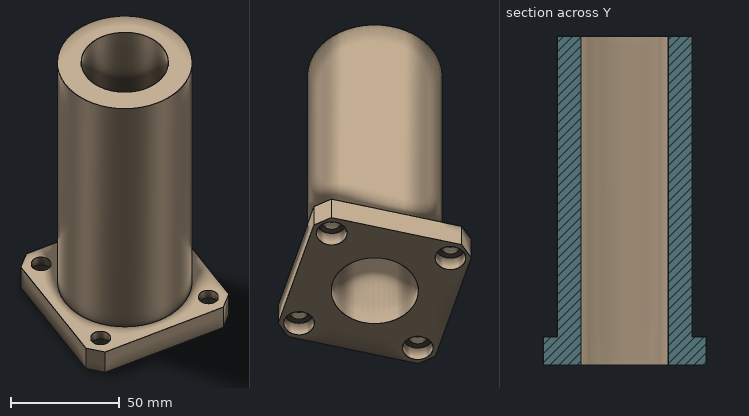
import cadquery as cq
import math

total_height = 151.0
flange_width = 75.0
flange_thickness = 13.0
corner_chamfer = 6.5
barrel_diameter = 62.0
bore_diameter = 40.0
bolt_circle_diameter = 80.0
bolt_hole_diameter = 9.0
counterbore_diameter = 14.0
counterbore_depth = 8.1

bolt_spacing = bolt_circle_diameter / math.sqrt(2)


def make_flange():
    """Square flange with its four upright corners chamfered."""
    return (
        cq.Workplane("XY")
        .rect(flange_width, flange_width)
        .extrude(flange_thickness)
        .edges("|Z")
        .chamfer(corner_chamfer)
    )


def make_barrel():
    """Cylindrical barrel standing on the base plane."""
    return cq.Workplane("XY").circle(barrel_diameter / 2).extrude(total_height)


def make_bore():
    """Straight bore through the full height."""
    return cq.Workplane("XY").circle(bore_diameter / 2).extrude(total_height)


def make_corner_cylinders(diameter, height):
    """Four cylinders rising from the base plane at the bolt positions."""
    return (
        cq.Workplane("XY")
        .rect(bolt_spacing, bolt_spacing, forConstruction=True)
        .vertices()
        .circle(diameter / 2)
        .extrude(height)
    )


def make_bolt_holes():
    """Four bolt holes through the flange, counterbored from its underside."""
    through_holes = make_corner_cylinders(bolt_hole_diameter, flange_thickness)
    counterbores = make_corner_cylinders(counterbore_diameter, counterbore_depth)
    return through_holes.union(counterbores)


result = make_flange().union(make_barrel()).cut(make_bore()).cut(make_bolt_holes())